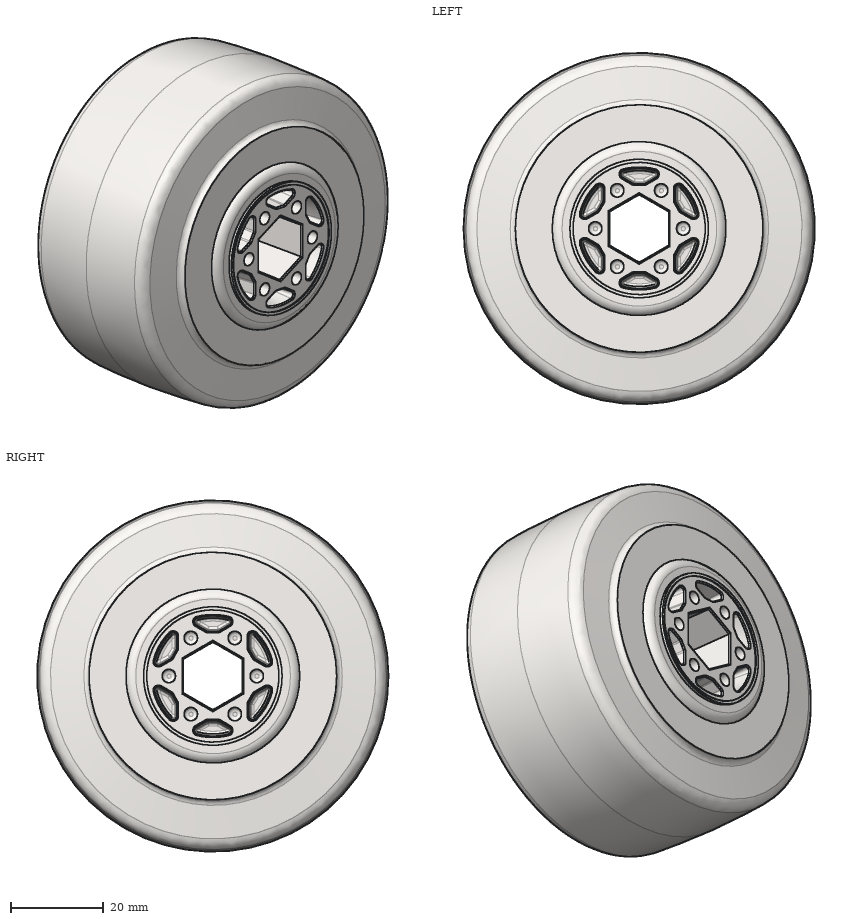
import cadquery as cq
import math


tread_radius = 38.1
crown_half_width = 16.85
crown_drop = 0.7
shoulder_fillet = 2.6

sidewall_foot_x = 17.8
disc_radius = 26.8
disc_face_x = 19.3
disc_root_fillet = 1.3

boss_radius = 19.0
boss_face_x = 20.7
boss_fillet = 2.2

overall_width = 42.9
hub_face_x = overall_width / 2
hub_radius = 15.0
recess_radius = 14.3
recess_depth = 0.2
recess_face_x = hub_face_x - recess_depth

hex_across_flats = 12.7
hex_chamfer = 0.3

pattern_count = 6
pitch_angle = 360 / pattern_count
blind_depth = 7.6
hole_circle_radius = 9.5
hole_radius = 1.45
hole_floor_fillet = 1.0
pocket_outer_radius = 13.3
pocket_inner_flat = 9.4
pocket_side_distance = 7.5
pocket_tip_fillet = 1.15
pocket_inner_fillet = 1.15
pocket_chamfer = 0.3
pocket_draft = 4.0
pocket_floor_fillet = 0.6

CHAMFER_ANGLE = 45
CIRCLE_TOLERANCE = 0.01


def cylinder(radius, length):
    """Cylinder from the mid plane towards +X."""
    return cq.Workplane("YZ").circle(radius).extrude(length)


def fillet_ring(body, x, radius, fillet):
    """Fillet the circular edge of the given radius lying at the given X."""
    rings = body.edges("%CIRCLE").filter(
        lambda edge: abs(edge.Center().x - x) < CIRCLE_TOLERANCE
        and abs(edge.radius() - radius) < CIRCLE_TOLERANCE
    )
    return rings.fillet(fillet)


def make_tyre():
    """Crowned tread, tapered sidewall and flat disc of one half."""
    crown_edge_radius = tread_radius - crown_drop
    crown_middle = (crown_half_width / 2, tread_radius - crown_drop / 4)
    profile = (
        cq.Workplane("XY")
        .moveTo(0, 0)
        .lineTo(0, tread_radius)
        .threePointArc(crown_middle, (crown_half_width, crown_edge_radius))
        .lineTo(sidewall_foot_x, disc_radius)
        .lineTo(disc_face_x, disc_radius)
        .lineTo(disc_face_x, 0)
        .close()
    )
    tyre = profile.revolve(360, (0, 0, 0), (1, 0, 0))
    tyre = fillet_ring(tyre, crown_half_width, crown_edge_radius, shoulder_fillet)
    return fillet_ring(tyre, sidewall_foot_x, disc_radius, disc_root_fillet)


def make_hub():
    """Rounded boss and the hub, whose end face is sunk inside a thin rim."""
    boss = cylinder(boss_radius, boss_face_x).faces(">X").edges().fillet(boss_fillet)
    recess = cylinder(recess_radius, recess_depth).translate((recess_face_x, 0, 0))
    return boss.union(cylinder(hub_radius, hub_face_x)).cut(recess)


def hexagon(across_flats, x):
    """Hexagon outline in the plane at the given X, with flats facing +Y and -Y."""
    across_corners = across_flats / math.cos(math.radians(30))
    plane = cq.Workplane("YZ").workplane(offset=x)
    return plane.transformed(rotate=(0, 0, 90)).polygon(6, across_corners)


def make_bore():
    """Through hexagon with a chamfered mouth."""
    bore = hexagon(hex_across_flats, 0).extrude(hub_face_x)
    mouth = hexagon(hex_across_flats + 2 * hex_chamfer, recess_face_x).extrude(-hex_chamfer, taper=CHAMFER_ANGLE)
    return bore.union(mouth)


def make_hole():
    """Blind hole with a rounded floor, on the +Y axis."""
    hole = cylinder(hole_radius, blind_depth).faces("<X").edges().fillet(hole_floor_fillet)
    return hole.translate((recess_face_x - blind_depth, hole_circle_radius, 0))


def pocket_outline():
    """Pocket mouth on the +Z axis: outer arc, two sides parallel to the bore flats, short inner flat."""
    side_tilt = math.radians(30)
    side_apex = pocket_side_distance / math.cos(side_tilt)
    flat_half = (pocket_inner_flat - side_apex) / math.tan(side_tilt)
    tip_angle = math.acos(pocket_side_distance / pocket_outer_radius) - side_tilt
    tip_y = pocket_outer_radius * math.sin(tip_angle)
    tip_z = pocket_outer_radius * math.cos(tip_angle)
    return (
        cq.Sketch()
        .segment((-flat_half, pocket_inner_flat), (flat_half, pocket_inner_flat))
        .segment((tip_y, tip_z))
        .arc((tip_y, tip_z), (0, pocket_outer_radius), (-tip_y, tip_z))
        .segment((-tip_y, tip_z), (-flat_half, pocket_inner_flat))
        .assemble()
        .vertices("<Y")
        .fillet(pocket_inner_fillet)
        .reset()
        .vertices(">Y")
        .fillet(pocket_tip_fillet)
        .reset()
    )


def make_pocket():
    """Drafted blind pocket with a chamfered mouth and a rounded floor."""
    plane = cq.Workplane("YZ").workplane(offset=recess_face_x)
    mouth = plane.placeSketch(pocket_outline()).extrude(-pocket_chamfer, taper=CHAMFER_ANGLE)
    throat = mouth.faces("<X").wires().toPending()
    well = throat.workplane().extrude(blind_depth - pocket_chamfer, taper=pocket_draft, combine=False)
    well = well.faces("<X").edges().fillet(pocket_floor_fillet)
    return mouth.union(well)


def make_half():
    """Everything on the +X side of the mid plane."""
    half = make_tyre().union(make_hub()).cut(make_bore())
    hole = make_hole()
    pocket = make_pocket()
    for index in range(pattern_count):
        angle = index * pitch_angle
        half = half.cut(hole.rotate((0, 0, 0), (1, 0, 0), angle))
        half = half.cut(pocket.rotate((0, 0, 0), (1, 0, 0), angle))
    return half


half_wheel = make_half()
result = half_wheel.union(half_wheel.mirror("YZ"))